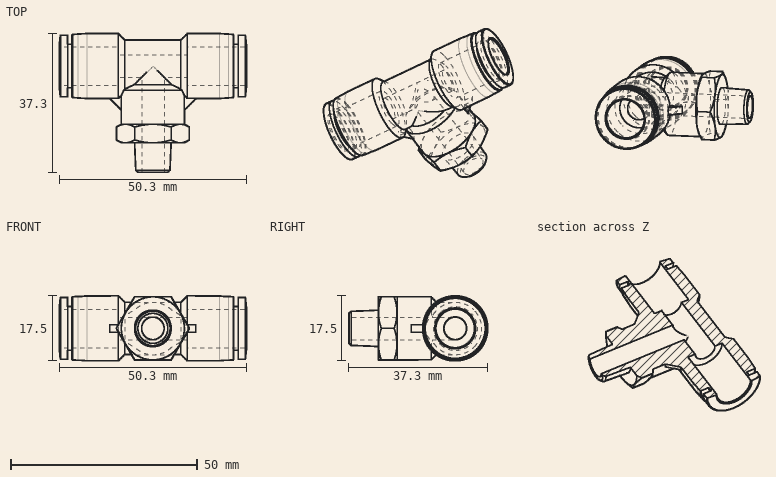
import cadquery as cq
import math


RUN_HALF_LENGTH = 25.15
WAIST_RADIUS = 7.05
WAIST_END = 7.55
SLEEVE_RADIUS = 8.75
SLEEVE_TAPER_START = 17.75
CAP_START = 20.2
SLEEVE_END = 21.75
CAP_RADIUS = 8.6
SLEEVE_TIP_RADIUS = 8.5
SLEEVE_EDGE = 0.2
NECK_RADIUS = 5.9
COLLAR_START = 22.9
COLLAR_RADIUS = 8.3
COLLAR_EDGE = 0.25
COLLAR_EDGE_LENGTH = 0.125
COLLAR_CONE_HEIGHT = 0.4

BORE_RADIUS = 3.0
SOCKET_RADIUS = 5.2
SOCKET_FLOOR = 9.25
SOCKET_CHAMFER = 0.3

BRANCH_RADIUS = 8.5
BRANCH_CONE_START = 5.05
HEX_SIDES = 6
HEX_START = 15.6
HEX_END = 20.6
HEX_ACROSS_FLATS = 2 * BRANCH_RADIUS
HEX_FACE_RADIUS = 8.45
HEX_CHAMFER_ANGLE = 30.0
THREAD_RADIUS = 4.95
THREAD_TIP_RADIUS = 4.65
THREAD_CHAMFER = 0.6
BRANCH_LENGTH = 28.5

GUSSET_THICKNESS = 2.0
GUSSET_REACH = 11.55


def revolve_about_x(points):
    """Revolve (distance from the centre, radius) points about the run axis."""
    return cq.Workplane("XY").polyline(points).close().revolve(360, (0, 0), (1, 0))


def revolve_about_branch(stations):
    """Revolve (distance from the run axis, radius) stations about the branch axis."""
    outline = [(radius, -distance) for distance, radius in stations]
    axis_points = [(0, -stations[-1][0]), (0, -stations[0][0])]
    return cq.Workplane("XY").polyline(outline + axis_points).close().revolve(360, (0, 0), (0, 1))


def half_run():
    sleeve_start = WAIST_END + SLEEVE_RADIUS - WAIST_RADIUS
    collar_shoulder = RUN_HALF_LENGTH - COLLAR_CONE_HEIGHT
    return revolve_about_x([
        (0, 0),
        (0, WAIST_RADIUS),
        (WAIST_END, WAIST_RADIUS),
        (sleeve_start, SLEEVE_RADIUS),
        (SLEEVE_TAPER_START, SLEEVE_RADIUS),
        (CAP_START, CAP_RADIUS),
        (SLEEVE_END - SLEEVE_EDGE, SLEEVE_TIP_RADIUS),
        (SLEEVE_END, SLEEVE_TIP_RADIUS - SLEEVE_EDGE),
        (SLEEVE_END, NECK_RADIUS),
        (COLLAR_START, NECK_RADIUS),
        (COLLAR_START, COLLAR_RADIUS),
        (collar_shoulder, COLLAR_RADIUS),
        (collar_shoulder + COLLAR_EDGE_LENGTH, COLLAR_RADIUS - COLLAR_EDGE),
        (RUN_HALF_LENGTH, SOCKET_RADIUS + SOCKET_CHAMFER),
        (RUN_HALF_LENGTH, 0),
    ])


def half_run_bore():
    return revolve_about_x([
        (0, 0),
        (0, BORE_RADIUS),
        (SOCKET_FLOOR, BORE_RADIUS),
        (SOCKET_FLOOR, SOCKET_RADIUS),
        (RUN_HALF_LENGTH - SOCKET_CHAMFER, SOCKET_RADIUS),
        (RUN_HALF_LENGTH, SOCKET_RADIUS + SOCKET_CHAMFER),
        (RUN_HALF_LENGTH, 0),
    ])


def both_ends(half):
    """Join one half of the run with its mirror image across the branch."""
    return half.union(half.mirror("YZ"))


def branch_body():
    cone_end = BRANCH_CONE_START + BRANCH_RADIUS - WAIST_RADIUS
    return revolve_about_branch([
        (0, WAIST_RADIUS),
        (BRANCH_CONE_START, WAIST_RADIUS),
        (cone_end, BRANCH_RADIUS),
        (HEX_START, BRANCH_RADIUS),
    ])


def hexagon():
    corner_radius = HEX_ACROSS_FLATS / 2 / math.cos(math.pi / HEX_SIDES)
    prism = (
        cq.Workplane("XZ", origin=(0, -HEX_START, 0))
        .polygon(HEX_SIDES, 2 * corner_radius)
        .extrude(HEX_END - HEX_START)
    )
    chamfer_length = (corner_radius - HEX_FACE_RADIUS) * math.tan(math.radians(HEX_CHAMFER_ANGLE))
    chamfer_cones = revolve_about_branch([
        (HEX_START, HEX_FACE_RADIUS),
        (HEX_START + chamfer_length, corner_radius),
        (HEX_END - chamfer_length, corner_radius),
        (HEX_END, HEX_FACE_RADIUS),
    ])
    return prism.intersect(chamfer_cones)


def thread():
    return revolve_about_branch([
        (HEX_END, THREAD_RADIUS),
        (BRANCH_LENGTH - THREAD_CHAMFER, THREAD_TIP_RADIUS),
        (BRANCH_LENGTH, THREAD_TIP_RADIUS - THREAD_CHAMFER),
    ])


def gussets():
    """One triangular plate spans the branch and leaves a 45 degree gusset on each side."""
    apex_distance = SLEEVE_RADIUS + GUSSET_REACH
    return (
        cq.Workplane("XY")
        .polyline([
            (-GUSSET_REACH, -WAIST_RADIUS),
            (-GUSSET_REACH, -SLEEVE_RADIUS),
            (-BRANCH_RADIUS, BRANCH_RADIUS - apex_distance),
            (BRANCH_RADIUS, BRANCH_RADIUS - apex_distance),
            (GUSSET_REACH, -SLEEVE_RADIUS),
            (GUSSET_REACH, -WAIST_RADIUS),
        ])
        .close()
        .extrude(GUSSET_THICKNESS / 2, both=True)
    )


branch_bore = revolve_about_branch([(0, BORE_RADIUS), (BRANCH_LENGTH, BORE_RADIUS)])

result = (
    both_ends(half_run())
    .union(branch_body())
    .union(gussets())
    .union(hexagon())
    .union(thread())
    .cut(both_ends(half_run_bore()))
    .cut(branch_bore)
)